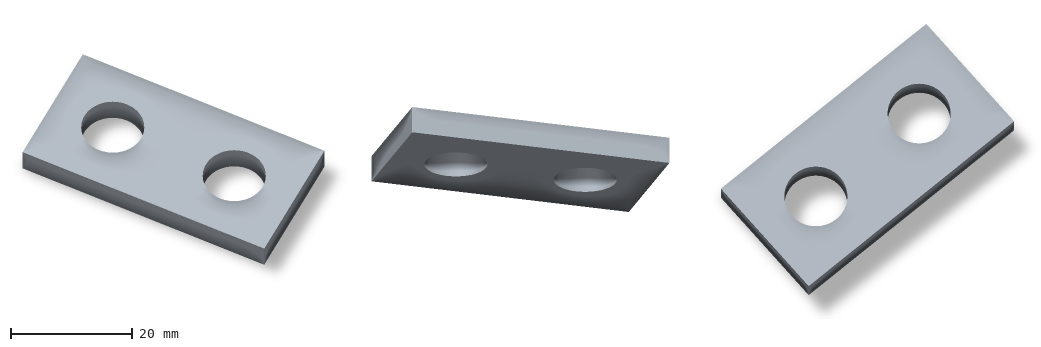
import cadquery as cq

plate_length = 44.45
plate_width = 22.35
plate_thickness = 4.5
hole_diameter = 10.41
hole_spacing = 22.35


def make_plate():
    """Flat rectangular plate centred on the origin."""
    return cq.Workplane("XY").box(plate_length, plate_width, plate_thickness)


def drill_holes(plate):
    """Two through holes on the long centre line, symmetric about the middle."""
    hole_centers = [(-hole_spacing / 2, 0), (hole_spacing / 2, 0)]
    return plate.faces(">Z").workplane().pushPoints(hole_centers).hole(hole_diameter)


result = drill_holes(make_plate())